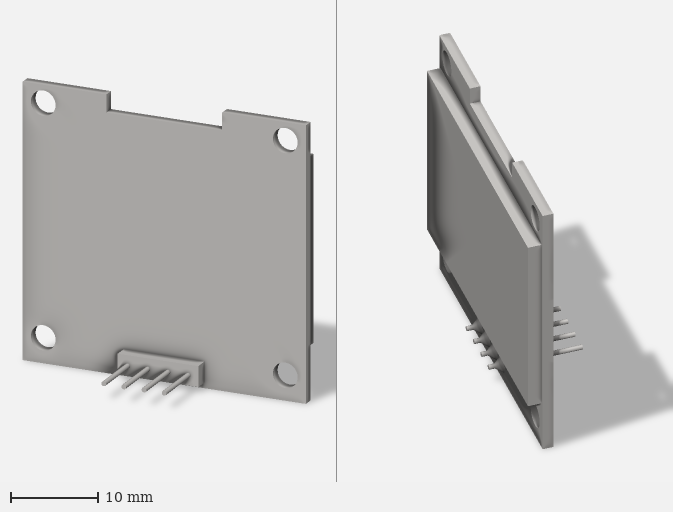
import cadquery as cq


board_width = 35.7
board_height = 34.0
board_thickness = 1.3

notch_width = 14.6
notch_depth = 2.2

hole_diameter = 3.1
hole_side_margin = 2.6
hole_top_margin = 2.25
hole_bottom_margin = 3.1

panel_width = 34.9
panel_height = 23.1
panel_thickness = 1.65
panel_top_margin = 4.5

pin_count = 4
pin_pitch = 2.54
pin_diameter = 0.59
pin_front_length = 6.7
header_width = pin_count * pin_pitch
header_height = pin_pitch
header_depth = 1.75
header_bottom_margin = 0.73

solder_diameter = 1.95
solder_length = 0.9

hole_x = board_width / 2 - hole_side_margin
hole_heights = [hole_bottom_margin, board_height - hole_top_margin]
panel_bottom = board_height - panel_top_margin - panel_height
pin_z = header_bottom_margin + header_height / 2
pin_front_y = -(header_depth + pin_front_length)
pin_back_y = board_thickness + panel_thickness
pin_xs = [(i - (pin_count - 1) / 2) * pin_pitch for i in range(pin_count)]


def block(width, depth, height, front_y, bottom_z):
    """Box centred in X, starting at the given front face and bottom."""
    corner = (-width / 2, front_y, bottom_z)
    return cq.Workplane("XY").box(width, depth, height, centered=False).translate(corner)


def make_bare_board():
    """Board with its top notch and four mounting holes."""
    board = block(board_width, board_thickness, board_height, 0, 0)
    notch = block(notch_width, board_thickness, notch_depth, 0, board_height - notch_depth)
    hole_centers = [(x, z) for x in (-hole_x, hole_x) for z in hole_heights]
    holes = (
        cq.Workplane("XZ")
        .pushPoints(hole_centers)
        .circle(hole_diameter / 2)
        .extrude(-board_thickness)
    )
    return board.cut(notch).cut(holes)


def make_pin(x):
    """Round pin through the header and board, with its solder cone behind the board."""
    solder_back_y = board_thickness + solder_length
    pin_radius = pin_diameter / 2
    profile = [
        (0, pin_front_y),
        (pin_radius, pin_front_y),
        (pin_radius, board_thickness),
        (solder_diameter / 2, board_thickness),
        (pin_radius, solder_back_y),
        (pin_radius, pin_back_y),
        (0, pin_back_y),
    ]
    pin = cq.Workplane("XY").polyline(profile).close().revolve(360, (0, 0, 0), (0, 1, 0))
    return pin.translate((x, 0, pin_z))


def make_board_with_header():
    """Circuit board joined with its header block and soldered pins."""
    header = block(header_width, header_depth, header_height, -header_depth, header_bottom_margin)
    board = make_bare_board().union(header)
    for x in pin_xs:
        board = board.union(make_pin(x))
    return board


def make_display_panel():
    """Plain rectangular panel lying on the back face of the board."""
    return block(panel_width, panel_thickness, panel_height, board_thickness, panel_bottom)


board_with_header = make_board_with_header()
display_panel = make_display_panel()

result = cq.Compound.makeCompound([board_with_header.val(), display_panel.val()])